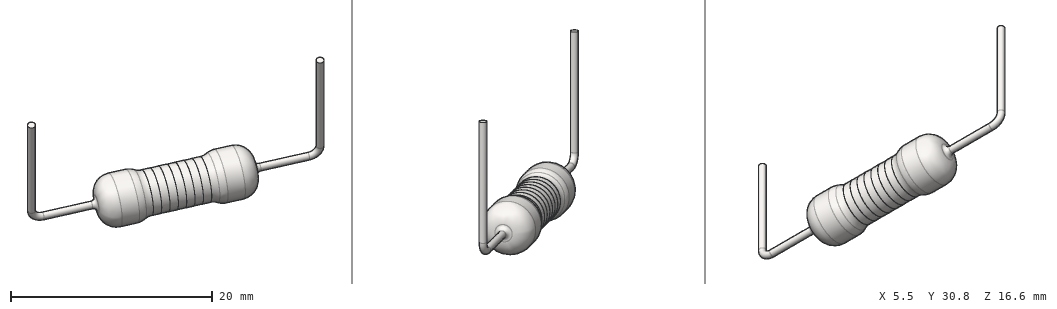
import cadquery as cq

lead_diameter = 0.8
lead_spacing = 30.0
lead_height = 13.85
lead_bend_radius = 1.2

cap_diameter = 5.5
body_length = 16.5
lead_fillet = 0.5
cap_straight_start = 4.6

waist_diameter = 4.67
band_diameter = 4.7
band_count = 4
band_width = 0.867

lead_radius = lead_diameter / 2
cap_radius = cap_diameter / 2
waist_radius = waist_diameter / 2
band_radius = band_diameter / 2
body_half = body_length / 2
section_count = 2 * band_count - 1
waist_half = section_count * band_width / 2
dome_radius = cap_radius - lead_radius - lead_fillet
dome_start = body_half - dome_radius

shoulder_run = (cap_straight_start - waist_half) / 2
shoulder_rise = (cap_radius - waist_radius) / 2
shoulder_radius = (shoulder_run**2 + shoulder_rise**2) / (2 * shoulder_rise)
shoulder_middle = (waist_radius + shoulder_rise, waist_half + shoulder_run)


def make_cap():
    """Revolve the +Y end of the body, from the waist out to the lead, about Y."""
    profile = (
        cq.Workplane("XY")
        .moveTo(0, waist_half)
        .lineTo(waist_radius, waist_half)
        .radiusArc(shoulder_middle, shoulder_radius)
        .radiusArc((cap_radius, cap_straight_start), -shoulder_radius)
        .lineTo(cap_radius, dome_start)
        .radiusArc((cap_radius - dome_radius, body_half), -dome_radius)
        .radiusArc((lead_radius, body_half + lead_fillet), lead_fillet)
        .lineTo(0, body_half + lead_fillet)
        .close()
    )
    return profile.revolve(360, (0, 0, 0), (0, 1, 0))


def make_waist():
    """Stack the colour bands and the gaps between them as alternating discs."""
    waist = cq.Workplane("XZ", origin=(0, -waist_half, 0))
    for index in range(section_count):
        radius = band_radius if index % 2 == 0 else waist_radius
        section_start = -waist_half + index * band_width
        section = cq.Workplane("XZ", origin=(0, section_start, 0)).circle(radius).extrude(-band_width)
        waist = waist.add(section)
    return waist.combine()


def make_lead():
    """Bent wire leaving the +Y end of the body and turning up to +Z."""
    lead_start = body_half + lead_fillet
    lead_y = lead_spacing / 2
    bend_start = lead_y - lead_bend_radius
    path = (
        cq.Workplane("YZ")
        .moveTo(lead_start, 0)
        .lineTo(bend_start, 0)
        .radiusArc((lead_y, lead_bend_radius), -lead_bend_radius)
        .lineTo(lead_y, lead_height)
    )
    return cq.Workplane("XZ", origin=(0, lead_start, 0)).circle(lead_radius).sweep(path)


end = make_cap().union(make_lead())
result = make_waist().union(end).union(end.mirror("XZ"))